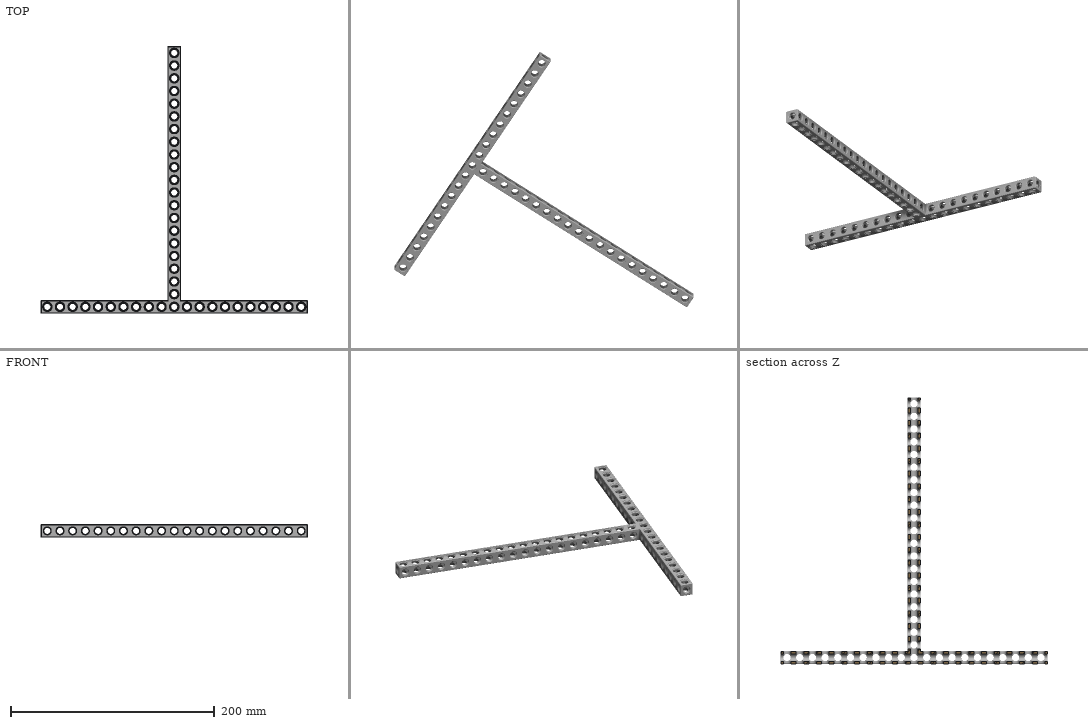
import cadquery as cq

length = 262.5
hole_count = 21
hole_diameter = 7.0
counterbore_diameter = 9.2
counterbore_depth = 0.4
edge_chamfer = 0.35

pitch = length / hole_count
half_pitch = pitch / 2
half_length = length / 2

bar_offsets = [(i - hole_count // 2) * pitch for i in range(hole_count)]
stem_offsets = [i * pitch for i in range(hole_count)]


def beam(size_x, size_y):
    """Square beam centred on the origin with all edges chamfered."""
    return cq.Workplane("XY").box(size_x, size_y, pitch).edges().chamfer(edge_chamfer)


def hole_cutter(start, direction, depth, counterbored=False):
    """Hole with chamfered rims at both ends, optionally sunk into counterbores."""
    bore_radius = hole_diameter / 2
    rim_radius = bore_radius + edge_chamfer
    counterbore_radius = counterbore_diameter / 2
    seat = counterbore_depth if counterbored else 0
    profile = cq.Workplane("XZ")
    if counterbored:
        profile = profile.lineTo(counterbore_radius, 0).lineTo(counterbore_radius, seat)
    profile = (
        profile.lineTo(rim_radius, seat)
        .lineTo(bore_radius, seat + edge_chamfer)
        .lineTo(bore_radius, depth - seat - edge_chamfer)
        .lineTo(rim_radius, depth - seat)
    )
    if counterbored:
        profile = profile.lineTo(counterbore_radius, depth - seat).lineTo(counterbore_radius, depth)
    cutter = profile.lineTo(0, depth).close().revolve(360, (0, 0, 0), (0, 1, 0)).val()
    return cutter.moved(cq.Location(cq.Plane(origin=start, normal=direction)))


crossbar = beam(length, pitch)
stem = beam(pitch, length).translate((0, half_length - half_pitch, 0))
body = crossbar.union(stem)

vertical_centres = [(x, 0) for x in bar_offsets] + [(0, y) for y in stem_offsets[1:]]
cutters = [hole_cutter((x, y, -half_pitch), (0, 0, 1), pitch, counterbored=True) for x, y in vertical_centres]

for i, x in enumerate(bar_offsets):
    depth = length if i == hole_count // 2 else pitch
    cutters.append(hole_cutter((x, -half_pitch, 0), (0, 1, 0), depth))

for i, y in enumerate(stem_offsets):
    depth = length if i == 0 else pitch
    cutters.append(hole_cutter((-depth / 2, y, 0), (1, 0, 0), depth))

for cutter in cutters:
    body = body.cut(cq.Workplane(obj=cutter))

result = body.solids()